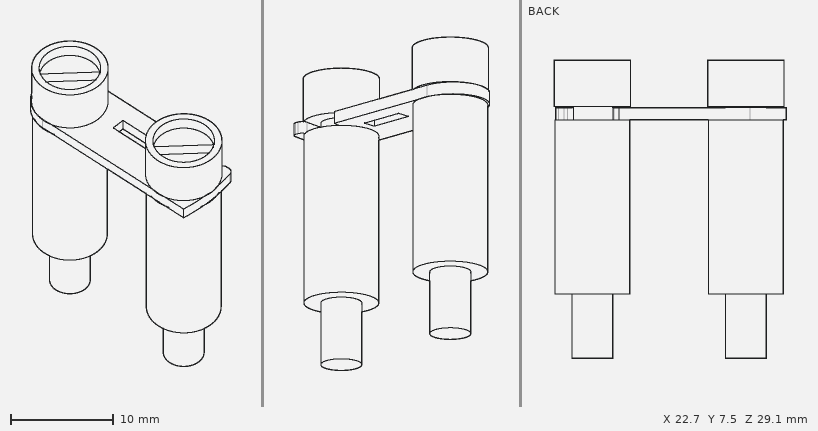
import cadquery as cq
import math

total_height = 29.15
screw_spacing = 15.0

head_diameter = 7.5
head_height = 4.55
recess_diameter = 6.0
recess_depth = 1.25
drive_slot_width = 1.1
drive_slot_depth = 1.45
drive_slot_angle = 45.0
pin_radius = 2.0
sleeve_radius = 3.67
sleeve_bottom = 6.3

head_gap = 0.1
plate_thickness = 1.2
plate_half_width = 3.6
plate_round_end_x = -0.38
plate_swing_radius = 18.6
window_length = 4.72
window_width = 1.4
window_center = (7.95, 0.85)

hook_slot_width = 4.2
hook_tip_radius = 0.58

head_bottom = total_height - head_height
plate_top = head_bottom - head_gap
plate_bottom = plate_top - plate_thickness


def cylinder(radius, bottom, top):
    return cq.Workplane("XY").workplane(offset=bottom).circle(radius).extrude(top - bottom)


def make_screw():
    """Pin, sleeve and recessed head with a diagonal drive slot."""
    recess_floor = total_height - recess_depth
    slot_floor = recess_floor - drive_slot_depth
    recess_radius = recess_diameter / 2
    head = cylinder(head_diameter / 2, head_bottom, total_height)
    head = head.cut(cylinder(recess_radius, recess_floor, total_height))
    drive_slot = (
        cq.Workplane("XY")
        .workplane(offset=slot_floor)
        .transformed(rotate=(0, 0, drive_slot_angle))
        .rect(recess_diameter, drive_slot_width)
        .extrude(drive_slot_depth)
        .intersect(cylinder(recess_radius, slot_floor, recess_floor))
    )
    head = head.cut(drive_slot)
    pin = cylinder(pin_radius, 0, head_bottom)
    sleeve = cylinder(sleeve_radius, sleeve_bottom, plate_bottom)
    return pin.union(sleeve).union(head)


def make_hook_slot():
    """Round-ended slot following an arc about the first screw, open at the +Y edge."""
    inner_radius = screw_spacing - hook_slot_width / 2
    outer_radius = screw_spacing + hook_slot_width / 2
    ring = cylinder(outer_radius, plate_bottom, plate_top)
    ring = ring.cut(cylinder(inner_radius, plate_bottom, plate_top))
    open_side = (
        cq.Workplane("XY")
        .workplane(offset=plate_bottom)
        .rect(outer_radius, outer_radius, centered=False)
        .extrude(plate_thickness)
        .intersect(ring)
    )
    closed_end = cylinder(hook_slot_width / 2, plate_bottom, plate_top)
    return open_side.union(closed_end.translate((screw_spacing, 0, 0)))


def make_plate():
    """Plate with one round end, one swing-arc end, a window and the hook slot."""
    corner_x = math.sqrt(plate_swing_radius**2 - plate_half_width**2)
    plate = (
        cq.Workplane("XY")
        .workplane(offset=plate_bottom)
        .moveTo(plate_round_end_x, -plate_half_width)
        .lineTo(corner_x, -plate_half_width)
        .threePointArc((plate_swing_radius, 0), (corner_x, plate_half_width))
        .lineTo(plate_round_end_x, plate_half_width)
        .threePointArc(
            (plate_round_end_x - plate_half_width, 0),
            (plate_round_end_x, -plate_half_width),
        )
        .close()
        .extrude(plate_thickness)
    )
    window = (
        cq.Workplane("XY")
        .workplane(offset=plate_bottom)
        .center(*window_center)
        .rect(window_length, window_width)
        .extrude(plate_thickness)
    )
    plate = plate.cut(window)
    plate = plate.cut(make_hook_slot())
    hook_tip = cq.selectors.BoxSelector(
        (screw_spacing, plate_half_width / 2, plate_bottom),
        (plate_swing_radius, plate_half_width * 2, plate_top),
    )
    return plate.edges("|Z").edges(hook_tip).fillet(hook_tip_radius)


result = make_plate()
for screw_x in (0, screw_spacing):
    result = result.union(make_screw().translate((screw_x, 0, 0)))